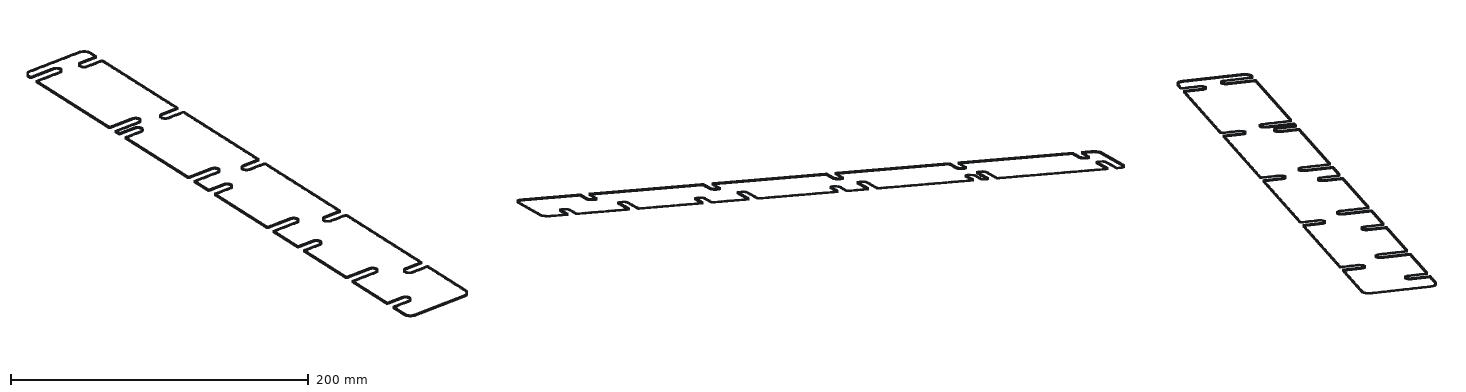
import cadquery as cq

LENGTH = 420.0
WIDTH = 52.0
THICKNESS = 0.7
CORNER_RADIUS = 5.0

SLOT_WIDTH = 6.7
SHORT_SLOT_DEPTH = 16.5
LONG_SLOT_DEPTH = 23.0

BACK_SHORT_FIRST = 15.0
BACK_SHORT_LAST = 370.0
BACK_SHORT_COUNT = 5

FRONT_LONG_FIRST = 10.0
FRONT_LONG_LAST = 355.0
FRONT_LONG_COUNT = 5

FRONT_SHORT_FIRST = 107.0
FRONT_SHORT_LAST = 399.5
FRONT_SHORT_COUNT = 4

BACK_EDGE = 1
FRONT_EDGE = -1


def make_strip():
    return cq.Workplane("XY").box(LENGTH, WIDTH, THICKNESS).edges("|Z").fillet(CORNER_RADIUS)


def cut_slot_row(strip, edge, depth, first, last, count):
    """Cut evenly spaced slots into the +Y (BACK_EDGE) or -Y (FRONT_EDGE) long edge."""
    pitch = (last - first) / (count - 1)
    centres = [(first + index * pitch - LENGTH / 2, edge * WIDTH / 2) for index in range(count)]
    cutters = cq.Workplane("XY").pushPoints(centres).slot2D(2 * depth, SLOT_WIDTH, 90)
    return strip.cut(cutters.extrude(THICKNESS, both=True))


result = make_strip()
result = cut_slot_row(
    result, BACK_EDGE, SHORT_SLOT_DEPTH, BACK_SHORT_FIRST, BACK_SHORT_LAST, BACK_SHORT_COUNT
)
result = cut_slot_row(
    result, FRONT_EDGE, LONG_SLOT_DEPTH, FRONT_LONG_FIRST, FRONT_LONG_LAST, FRONT_LONG_COUNT
)
result = cut_slot_row(
    result, FRONT_EDGE, SHORT_SLOT_DEPTH, FRONT_SHORT_FIRST, FRONT_SHORT_LAST, FRONT_SHORT_COUNT
)